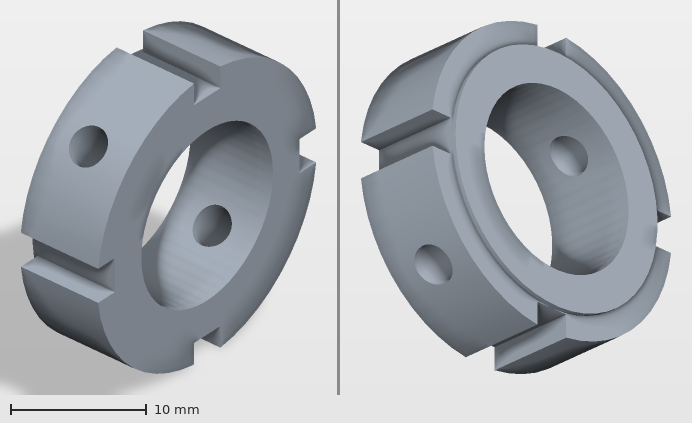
import cadquery as cq
import math

outer_diameter = 25.0
bore_diameter = 15.0
collar_diameter = 21.0
total_length = 8.0
collar_height = 0.5
body_length = total_length - collar_height

slot_count = 4
slot_width = 3.0
slot_floor_radius = collar_diameter / 2

cross_hole_diameter = 3.25
cross_hole_x = total_length / 2


def x_cylinder(diameter, start, length):
    """Solid cylinder along X, beginning at X = start."""
    return cq.Workplane("YZ", origin=(start, 0, 0)).circle(diameter / 2).extrude(length)


def spanner_slot(angle):
    """Cutter for one flat-floored slot, turned about the ring axis from +Z."""
    return (
        cq.Workplane("XY", origin=(collar_height, 0, slot_floor_radius))
        .box(body_length, slot_width, outer_diameter / 2, centered=(False, True, False))
        .rotate((0, 0, 0), (1, 0, 0), angle)
    )


def cross_hole():
    """Cutter passing through both walls, from the -Y +Z side to the +Y -Z side."""
    diagonal = cq.Vector(0, -math.sqrt(0.5), math.sqrt(0.5))
    start = cq.Vector(cross_hole_x, 0, 0) - diagonal * outer_diameter
    return cq.Workplane(
        cq.Solid.makeCylinder(cross_hole_diameter / 2, 2 * outer_diameter, start, diagonal)
    )


ring = x_cylinder(outer_diameter, collar_height, body_length)
ring = ring.union(x_cylinder(collar_diameter, 0, collar_height))
ring = ring.cut(x_cylinder(bore_diameter, 0, total_length))

for slot_index in range(slot_count):
    ring = ring.cut(spanner_slot(slot_index * 360 / slot_count))

result = ring.cut(cross_hole())